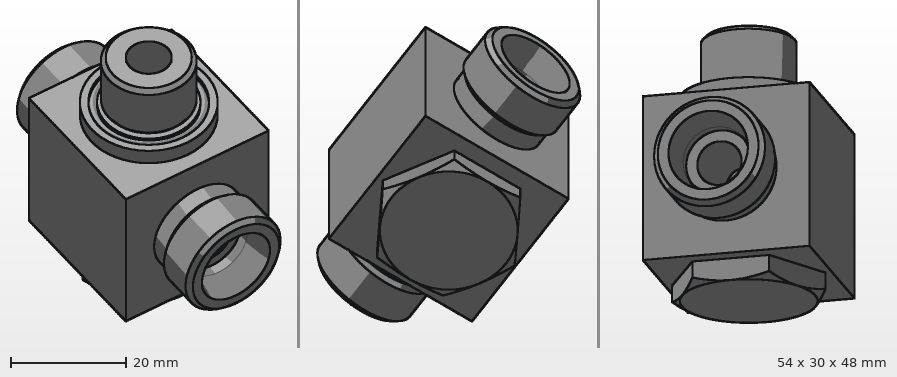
import cadquery as cq
import math

length = 54.0
cube_side = 30.0
half_cube = cube_side / 2
half_length = length / 2
port_chamfer = 0.9
bore_diameter = 8.0

port_diameter = 20.0
port_neck_diameter = port_diameter - 2 * port_chamfer
port_head_length = 8.55
socket_diameter = 12.0
socket_mouth_diameter = 14.3
socket_half_angle = 12.0
socket_depth = 7.5

collar_diameter = 24.0
collar_height = 3.0
stud_diameter = 16.7
stud_neck_diameter = 15.35
stud_length = 10.95
stud_chamfer = 0.85
seal_inner_diameter = 18.0
seal_outer_diameter = 21.0

hex_flats = 24.0
hex_height = 4.0
hex_half_angle = 30.0
hex_chamfer_angle = 30.0

collar_top = half_cube + collar_height
stud_top = collar_top + stud_length


def revolve_about_z(points):
    """Revolve a closed (radius, height) profile about the Z axis."""
    return cq.Workplane("XZ").polyline(points).close().revolve(360, (0, 0, 0), (0, 1, 0))


def make_port():
    """Chamfered port head and neck pointing up Z, starting at the cube centre."""
    head_radius = port_diameter / 2
    neck_radius = port_neck_diameter / 2
    head_start = half_length - port_head_length
    return revolve_about_z([
        (0, 0),
        (neck_radius, 0),
        (neck_radius, head_start),
        (head_radius, head_start + port_chamfer),
        (head_radius, half_length - port_chamfer),
        (head_radius - port_chamfer, half_length),
        (0, half_length),
    ])


def make_socket():
    """Conical mouth followed by a straight counterbore, in the end of a port."""
    mouth_radius = socket_mouth_diameter / 2
    socket_radius = socket_diameter / 2
    cone_depth = (mouth_radius - socket_radius) / math.tan(math.radians(socket_half_angle))
    return revolve_about_z([
        (0, half_length - socket_depth),
        (socket_radius, half_length - socket_depth),
        (socket_radius, half_length - cone_depth),
        (mouth_radius, half_length),
        (0, half_length),
    ])


def make_stud():
    """Collar and chamfered stud, with a relieved root above the collar."""
    collar_radius = collar_diameter / 2
    stud_radius = stud_diameter / 2
    neck_radius = stud_neck_diameter / 2
    return revolve_about_z([
        (0, 0),
        (collar_radius, 0),
        (collar_radius, collar_top),
        (neck_radius, collar_top),
        (stud_radius, collar_top + stud_chamfer),
        (stud_radius, stud_top - stud_chamfer),
        (stud_radius - stud_chamfer, stud_top),
        (0, stud_top),
    ])


def make_seal_recess():
    """Ring groove in the collar whose floor is the rounded top of a seal ring."""
    inner_radius = seal_inner_diameter / 2
    outer_radius = seal_outer_diameter / 2
    ring_radius = (outer_radius - inner_radius) / 2
    ring_centre = collar_top - ring_radius
    return (
        cq.Workplane("XZ")
        .moveTo(inner_radius, ring_centre)
        .threePointArc((inner_radius + ring_radius, collar_top), (outer_radius, ring_centre))
        .lineTo(outer_radius, collar_top + ring_radius)
        .lineTo(inner_radius, collar_top + ring_radius)
        .close()
        .revolve(360, (0, 0, 0), (0, 1, 0))
        .intersect(cq.Workplane("XY").circle(collar_diameter / 2).extrude(collar_top))
    )


def make_hex_head():
    """Hexagon with flats facing X, its lower corners turned to a cone."""
    corner_radius = hex_flats / 2 / math.cos(math.radians(hex_half_angle))
    face_radius = hex_flats / 2
    corner_drop = (corner_radius - face_radius) * math.tan(math.radians(hex_chamfer_angle))
    bottom = -half_cube - hex_height
    hexagon = (
        cq.Workplane("XY", origin=(0, 0, bottom))
        .transformed(rotate=(0, 0, hex_half_angle))
        .polygon(6, 2 * corner_radius)
        .extrude(hex_height)
    )
    turned_blank = revolve_about_z([
        (0, bottom),
        (face_radius, bottom),
        (corner_radius, bottom + corner_drop),
        (corner_radius, -half_cube),
        (0, -half_cube),
    ])
    return hexagon.intersect(turned_blank)


def at_both_ends(shape):
    """Turn a Z-pointing shape to point along +X and along -X."""
    return [shape.rotate((0, 0, 0), (0, 1, 0), angle) for angle in (90, -90)]


result = cq.Workplane("XY").box(cube_side, cube_side, cube_side)
result = result.union(make_stud()).union(make_hex_head())
for port in at_both_ends(make_port()):
    result = result.union(port)

result = result.cut(make_seal_recess())
for socket in at_both_ends(make_socket()):
    result = result.cut(socket)
cross_bore = cq.Workplane("YZ").circle(bore_diameter / 2).extrude(half_length, both=True)
stud_bore = cq.Workplane("XY").circle(bore_diameter / 2).extrude(stud_top)
result = result.cut(cross_bore).cut(stud_bore)